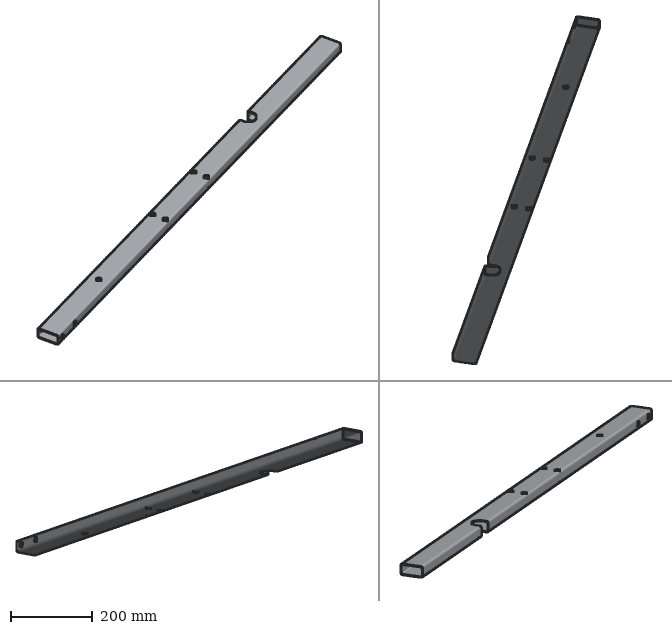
import cadquery as cq
import math

OVERALL_LENGTH = 1352.0
TILT_DEGREES = 0.53
WALL = 3.0
BORE_WIDTH = 54.0
TUBE_WIDTH = BORE_WIDTH + 2 * WALL
TUBE_HEIGHT = 30.0
BORE_HEIGHT = TUBE_HEIGHT - 2 * WALL
OUTER_RADIUS = 2 * WALL
INNER_RADIUS = OUTER_RADIUS - WALL

TILT = math.radians(TILT_DEGREES)
TUBE_LENGTH = (OVERALL_LENGTH - TUBE_WIDTH * math.sin(TILT)) / math.cos(TILT)
LEFT_FACE = -TUBE_WIDTH / 2
NEAR_END = -TUBE_LENGTH / 2
FAR_END = TUBE_LENGTH / 2

NOTCH_RADIUS = 20.0
NOTCH_CENTRE_DEPTH = 15.0
NOTCH_FROM_FAR_END = 368.0

FACE_HOLE_DIAMETER = 14.0
FACE_HOLE_SPACING_X = 37.0
FACE_HOLE_ROWS_FROM_NEAR_END = (532.0, 728.0)

CENTRE_HOLE_DIAMETER = 14.0
CENTRE_HOLE_FROM_NEAR_END = 242.0

SIDE_HOLE_DIAMETER = 12.0
SIDE_HOLES_FROM_NEAR_END = (19.0, 80.0)


def rounded_bar(width, height, radius):
    bar = cq.Workplane("XY").box(width, TUBE_LENGTH, height)
    return bar.edges("|Y").fillet(radius)


def vertical_cutter(x, y, diameter):
    cutter = cq.Workplane("XY").circle(diameter / 2).extrude(TUBE_HEIGHT, both=True)
    return cutter.translate((x, y, 0))


def notch_cutter():
    centre_x = LEFT_FACE + NOTCH_CENTRE_DEPTH
    centre_y = FAR_END - NOTCH_FROM_FAR_END
    round_end = vertical_cutter(centre_x, centre_y, 2 * NOTCH_RADIUS)
    mouth = cq.Workplane("XY").box(TUBE_WIDTH, 2 * NOTCH_RADIUS, 2 * TUBE_HEIGHT)
    return round_end.union(mouth.translate((centre_x - TUBE_WIDTH / 2, centre_y, 0)))


def sideways_cutter(y):
    cutter = cq.Workplane("YZ").circle(SIDE_HOLE_DIAMETER / 2).extrude(TUBE_WIDTH, both=True)
    return cutter.translate((0, y, 0))


outside = rounded_bar(TUBE_WIDTH, TUBE_HEIGHT, OUTER_RADIUS)
inside = rounded_bar(BORE_WIDTH, BORE_HEIGHT, INNER_RADIUS)
tube = outside.cut(inside).cut(notch_cutter())

for from_end in FACE_HOLE_ROWS_FROM_NEAR_END:
    for side in (-1, 1):
        x = side * FACE_HOLE_SPACING_X / 2
        tube = tube.cut(vertical_cutter(x, NEAR_END + from_end, FACE_HOLE_DIAMETER))

tube = tube.cut(vertical_cutter(0, NEAR_END + CENTRE_HOLE_FROM_NEAR_END, CENTRE_HOLE_DIAMETER))

for from_end in SIDE_HOLES_FROM_NEAR_END:
    tube = tube.cut(sideways_cutter(NEAR_END + from_end))

result = tube.rotate((0, 0, 0), (0, 0, 1), TILT_DEGREES)